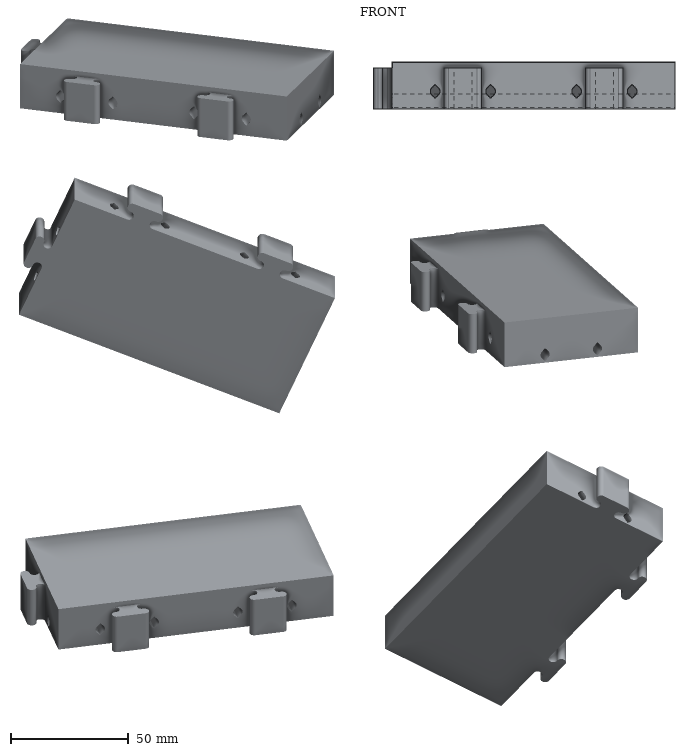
import cadquery as cq
import math

body_width = 60.0
body_length = 2 * body_width
body_height = 20.0

tab_reach = 7.9
tab_width = 16.0
tab_height = 17.5
neck_width = 7.7
neck_length = tab_reach / 2
round_radius = 1.9

hole_diameter = 4.1
hole_offset = 11.8
end_hole_height = 3.6
side_hole_height = 7.5
side_hole_depth = 10.0

side_tab_places = (body_length / 4, 3 * body_length / 4)
end_tab_place = body_width / 2


def make_tab():
    """Tab that reaches towards -Y from the origin, standing on the XY plane."""
    neck_half = neck_width / 2
    neck_foot = neck_half + round_radius
    head_half = tab_width / 2
    head_flat = head_half - round_radius
    half_tab = (
        cq.Workplane("XY")
        .lineTo(neck_foot, 0)
        .radiusArc((neck_half, -round_radius), -round_radius)
        .lineTo(neck_half, round_radius - neck_length)
        .radiusArc((neck_foot, -neck_length), -round_radius)
        .lineTo(head_flat, -neck_length)
        .radiusArc((head_half, -neck_length - round_radius), round_radius)
        .lineTo(head_half, round_radius - tab_reach)
        .radiusArc((head_flat, -tab_reach), round_radius)
        .lineTo(0, -tab_reach)
        .close()
        .extrude(tab_height)
    )
    return half_tab.union(half_tab.mirror("YZ")).clean()


def make_hole(depth):
    """Peaked hole that runs towards +Y from the origin."""
    radius = hole_diameter / 2
    peak = radius * math.sqrt(2)
    flank = radius / math.sqrt(2)
    return (
        cq.Workplane("XZ")
        .moveTo(0, peak)
        .lineTo(flank, flank)
        .threePointArc((radius, 0), (flank, -flank))
        .lineTo(0, -peak)
        .lineTo(-flank, -flank)
        .threePointArc((-radius, 0), (-flank, flank))
        .close()
        .extrude(-depth)
    )


def on_end(shape):
    """Turn a shape made for the -Y side so that it faces the -X side."""
    return shape.rotate((0, 0, 0), (0, 0, 1), -90)


result = cq.Workplane("XY").box(body_length, body_width, body_height, centered=False)

for place in side_tab_places:
    result = result.union(make_tab().translate((place, 0, 0)))
result = result.union(on_end(make_tab()).translate((0, end_tab_place, 0)))

for offset in (-hole_offset, hole_offset):
    for place in side_tab_places:
        side_hole = make_hole(side_hole_depth)
        result = result.cut(side_hole.translate((place + offset, 0, side_hole_height)))
    end_hole = on_end(make_hole(body_length))
    result = result.cut(end_hole.translate((0, end_tab_place + offset, end_hole_height)))